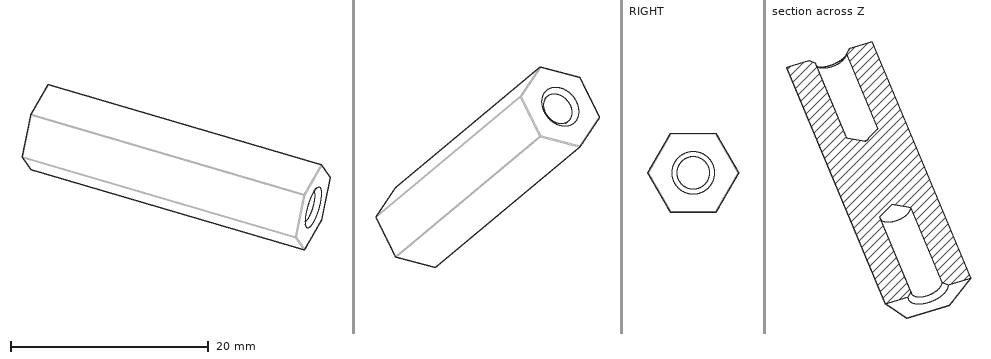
import cadquery as cq
import math

length = 30.0
across_flats = 8.0
edge_radius = 0.1
hole_diameter = 3.3
countersink_diameter = 4.32
countersink_depth = (countersink_diameter - hole_diameter) / 2
hole_depth = 10.0
drill_tip_angle = 118.0
tip_depth = hole_diameter / 2 / math.tan(math.radians(drill_tip_angle / 2))


def hex_bar():
    """Bar with flats facing up and down, and all its edges slightly rounded."""
    across_corners = across_flats / math.cos(math.radians(30))
    bar = cq.Workplane("YZ").polygon(6, across_corners).extrude(length / 2, both=True)
    return bar.edges().fillet(edge_radius)


def end_hole():
    """Countersunk blind hole with a conical drill tip, entering the -X end."""
    end_x = -length / 2
    profile = [
        (end_x, 0),
        (end_x, countersink_diameter / 2),
        (end_x + countersink_depth, hole_diameter / 2),
        (end_x + hole_depth, hole_diameter / 2),
        (end_x + hole_depth + tip_depth, 0),
    ]
    return cq.Workplane("XY").polyline(profile).close().revolve(360, (0, 0), (1, 0))


hole = end_hole()
result = hex_bar().cut(hole).cut(hole.mirror("YZ"))